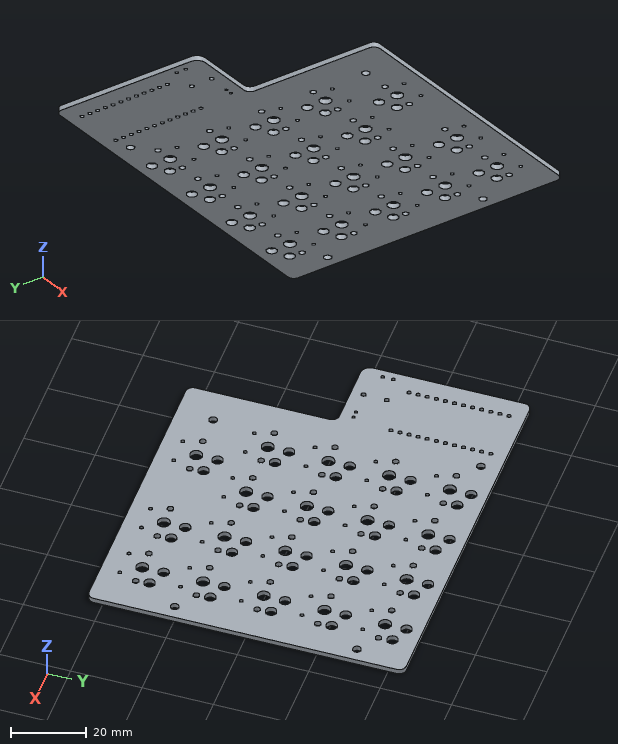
import cadquery as cq


WIDTH = 106.8
HEIGHT = 89.0
THICKNESS = 1.6
NOTCH_WIDTH = 22.2
TAB_HEIGHT = 47.2
CORNER_RADIUS = 2.0
TAB_CORNER_RADIUS = 2.8

COLUMNS = 4
ROWS = 5
FIRST_COLUMN_X = 37.4
LAST_COLUMN_X = 91.4
FIRST_ROW_DEPTH = 10.5
LAST_ROW_DEPTH = 78.5
COLUMN_PITCH = (LAST_COLUMN_X - FIRST_COLUMN_X) / (COLUMNS - 1)
ROW_PITCH = (LAST_ROW_DEPTH - FIRST_ROW_DEPTH) / (ROWS - 1)
LAST_ROW_COLUMNS = (0.5, 2, 3)

STEM_DIAMETER = 3.4
PEG_DIAMETER = 1.7
PEG_SPACING = 11.0
PEG_OFFSET = PEG_SPACING / 2
CONTACT_DIAMETER = 3.0
UPPER_CONTACT_Y = 6.0
SIDE_CONTACT_X = 5.0
SIDE_CONTACT_Y = 3.7

DIODE_DIAMETER = 0.99
DIODE_SPACING = 7.6
DIODE_DROP = 5.0

PIN_DIAMETER = 1.1
PINS_PER_ROW = 12
PIN_ROW_XS = (5.9, 21.0)
FIRST_PIN_DEPTH = 4.5
LAST_PIN_DEPTH = 32.5
PIN_PITCH = (LAST_PIN_DEPTH - FIRST_PIN_DEPTH) / (PINS_PER_ROW - 1)

MOUNT_DIAMETER = 2.2
RIGHT_MOUNT_X = 102.8
MOUNTS = [
    (26.4, 5.4),
    (32.3, LAST_ROW_DEPTH),
    (RIGHT_MOUNT_X, 14.5),
    (RIGHT_MOUNT_X, 65.6),
]

BUTTON_DIAMETER = 1.3
BUTTON_X = 10.5
BUTTON_DEPTHS = (37.2, 43.7)

SLIDER_DIAMETER = 0.9
SLIDER_X = 2.5
SLIDER_DEPTHS = (38.0, 41.0)

BATTERY_DIAMETER = 0.7
BATTERY_XS = (17.4, 19.4)
BATTERY_DEPTH = 43.5


def from_top(x, depth):
    """Board point at distance x from the left edge and depth below the upper edge."""
    return (x, HEIGHT - depth)


def make_plate():
    notch_height = HEIGHT - TAB_HEIGHT
    blank = (
        cq.Workplane("XY")
        .moveTo(NOTCH_WIDTH, 0)
        .lineTo(WIDTH, 0)
        .lineTo(WIDTH, HEIGHT)
        .lineTo(0, HEIGHT)
        .lineTo(0, notch_height)
        .lineTo(NOTCH_WIDTH, notch_height)
        .close()
        .extrude(THICKNESS)
    )
    tab_corner = cq.selectors.NearestToPointSelector((0, notch_height, THICKNESS / 2))
    return (
        blank.edges("|Z")
        .edges(cq.selectors.InverseSelector(tab_corner))
        .fillet(CORNER_RADIUS)
        .edges(tab_corner)
        .fillet(TAB_CORNER_RADIUS)
    )


def key_centres():
    centres = []
    for row in range(ROWS):
        is_last_row = row == ROWS - 1
        columns = LAST_ROW_COLUMNS if is_last_row else range(COLUMNS)
        for column in columns:
            x = FIRST_COLUMN_X + column * COLUMN_PITCH
            depth = FIRST_ROW_DEPTH + row * ROW_PITCH
            centres.append(from_top(x, depth))
    return centres


def around_keys(offsets):
    """Each offset repeated around every switch centre."""
    return [(x + dx, y + dy) for x, y in key_centres() for dx, dy in offsets]


def drill(plate, points, diameter):
    pins = cq.Workplane("XY").pushPoints(points).circle(diameter / 2).extrude(THICKNESS)
    return plate.cut(pins)


switch_pegs = [(-PEG_OFFSET, 0), (PEG_OFFSET, 0)]
switch_contacts = [(0, UPPER_CONTACT_Y), (SIDE_CONTACT_X, SIDE_CONTACT_Y)]
diode_leads = [(-DIODE_SPACING / 2, -DIODE_DROP), (DIODE_SPACING / 2, -DIODE_DROP)]
controller_pins = [
    from_top(x, FIRST_PIN_DEPTH + index * PIN_PITCH)
    for x in PIN_ROW_XS
    for index in range(PINS_PER_ROW)
]

result = make_plate()
result = drill(result, key_centres(), STEM_DIAMETER)
result = drill(result, around_keys(switch_pegs), PEG_DIAMETER)
result = drill(result, around_keys(switch_contacts), CONTACT_DIAMETER)
result = drill(result, around_keys(diode_leads), DIODE_DIAMETER)
result = drill(result, controller_pins, PIN_DIAMETER)
result = drill(result, [from_top(x, depth) for x, depth in MOUNTS], MOUNT_DIAMETER)
result = drill(result, [from_top(BUTTON_X, depth) for depth in BUTTON_DEPTHS], BUTTON_DIAMETER)
result = drill(result, [from_top(SLIDER_X, depth) for depth in SLIDER_DEPTHS], SLIDER_DIAMETER)
result = drill(result, [from_top(x, BATTERY_DEPTH) for x in BATTERY_XS], BATTERY_DIAMETER)